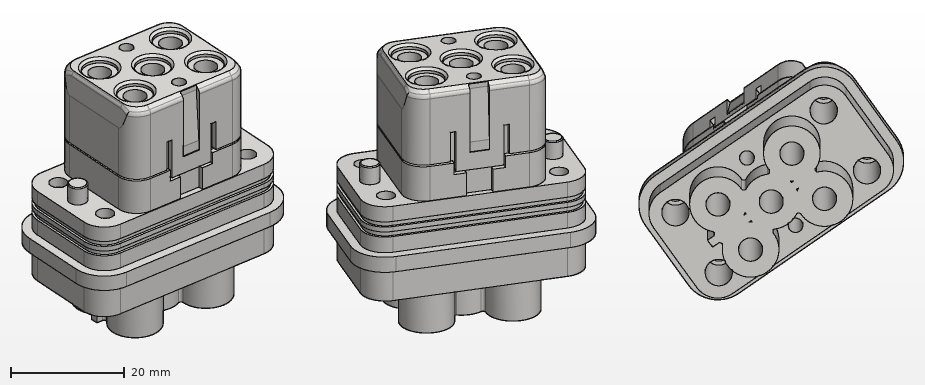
import cadquery as cq
import math

base_bottom = 8.05
flange_bottom = 14.6
flange_top = 17.6
lower_groove_bottom = 20.7
upper_groove_bottom = 22.65
groove_height = 1.0
base_top = 26.65
tongue_gap_bottom = 31.15
tongue_bottom = 31.65
seam_bottom = 33.4
seam_top = 33.75
slit_top = 39.5
tower_top = 48.2

flange_x = 26.0
flange_y = 45.2
base_x = 22.35
flange_overhang = (flange_x - base_x) / 2
base_y = flange_y - 2 * flange_overhang
base_corner = 4.6
flange_corner = base_corner + flange_overhang
groove_depth = 0.5

screw_hole_diameter = 3.35
screw_recess_diameter = 4.8
screw_seat_thickness = 2.0
screw_hole_x = 6.65
screw_hole_y = 16.05
pin_diameter = 3.6
pin_y = 16.95
pin_top = 30.15
pin_chamfer = 0.2

tower_x = 22.05
tower_y = 26.55
tower_corner = 4.05
tower_chamfer = 1.0
tower_round = 1.15
facet_bottom = 43.52
facet_slope = 0.13

latch_depth = 1.0
seam_depth_y = 1.25
tongue_half_width = 4.45
tongue_gap = 0.35
slit_outer_y = 5.5
notch_width = 4.9

slot_width = 3.6
slot_bottom = 35.1
slot_ramp_bottom = 37.0
slot_ramp_top = 47.2
slot_shallow = 0.2
slot_deep = 0.9

contact_x = 5.0
contact_y = 8.0
barrel_radius = 5.0
barrel_blend = 0.5
web_width = 1.55
web_front = 13.25
web_back = 9.65
contact_bore = 4.25
recess_diameter = 6.55
recess_depth = 1.0
recess_chamfer = 0.5
signal_hole_diameter = 2.6
signal_hole_x = 7.45

overcut = 0.5
edge_margin = 0.25
corner_contacts = [(sx * contact_x, sy * contact_y) for sx in (-1, 1) for sy in (-1, 1)]
all_contacts = corner_contacts + [(0, 0)]


def rounded_block(size_x, size_y, corner, bottom, top):
    """Upright block, centred on Z, with rounded vertical corners."""
    block = cq.Workplane("XY").workplane(offset=bottom).rect(size_x, size_y).extrude(top - bottom)
    return block.edges("|Z").fillet(corner)


def box_between(x_range, y_range, z_range):
    """Box given by its lower and upper limit along each axis."""
    sizes = [high - low for low, high in (x_range, y_range, z_range)]
    corner = (x_range[0], y_range[0], z_range[0])
    return cq.Workplane("XY").box(*sizes, centered=False).translate(corner)


def cylinders(points, diameter, bottom, top):
    """Upright cylinders at the given points."""
    circles = cq.Workplane("XY").workplane(offset=bottom).pushPoints(points).circle(diameter / 2)
    return circles.extrude(top - bottom)


def on_both_x_sides(shape):
    """The shape together with its mirror image on the other X side."""
    return shape.union(shape.mirror("YZ"))


def make_base():
    """Base block with two seal grooves, a flange and two coding pins."""
    base = rounded_block(base_x, base_y, base_corner, base_bottom, base_top)
    groove_floor_x = base_x - 2 * groove_depth
    groove_floor_y = base_y - 2 * groove_depth
    for bottom in (lower_groove_bottom, upper_groove_bottom):
        top = bottom + groove_height
        core = rounded_block(groove_floor_x, groove_floor_y, base_corner - groove_depth, bottom, top)
        ring = rounded_block(base_x, base_y, base_corner, bottom, top).cut(core)
        base = base.cut(ring)
    base = base.union(rounded_block(flange_x, flange_y, flange_corner, flange_bottom, flange_top))
    pins = cylinders([(0, -pin_y), (0, pin_y)], pin_diameter, base_top - overcut, pin_top)
    return base.union(pins.faces(">Z").chamfer(pin_chamfer))


def make_tower_body():
    """Tower with chamfered top, leaning facets at both Y ends and a softened shoulder."""
    tower = rounded_block(tower_x, tower_y, tower_corner, base_top - overcut, tower_top)
    tower = tower.faces(">Z").chamfer(tower_chamfer)
    facet_top = tower_top + overcut
    facet_inset = facet_slope * (facet_top - facet_bottom)
    facet = (
        cq.Workplane("YZ")
        .polyline(
            [
                (tower_y / 2, facet_bottom),
                (tower_y / 2 + overcut, facet_bottom),
                (tower_y / 2 + overcut, facet_top),
                (tower_y / 2 - facet_inset, facet_top),
            ]
        )
        .close()
        .extrude(tower_x, both=True)
    )
    tower = tower.cut(facet).cut(facet.mirror("XZ"))
    shoulder_bottom = tower_top - tower_chamfer - edge_margin
    shoulder_top = tower_top - edge_margin
    shoulder = []
    for edge in tower.edges().vals():
        bounds = edge.BoundingBox()
        if bounds.zmin > shoulder_bottom and bounds.zmax < shoulder_top:
            shoulder.append(edge)
    return tower.newObject(shoulder).fillet(tower_round)


def make_seam():
    """Gap around the tower between its upper and lower halves, interrupted by the latch tongues."""
    outer = rounded_block(
        tower_x + 2 * overcut, tower_y + 2 * overcut, tower_corner + overcut, seam_bottom, seam_top
    )
    core_x = tower_x - 2 * latch_depth
    core_y = tower_y - 2 * seam_depth_y
    core = rounded_block(core_x, core_y, tower_corner - latch_depth, seam_bottom, seam_top)
    tongues = box_between(
        (-flange_x, flange_x), (-tongue_half_width, tongue_half_width), (seam_bottom, seam_top)
    )
    return outer.cut(core).cut(tongues)


def make_latch_opening():
    """Slits, stepped gap and notch around the latch tongues on both X sides."""
    x_range = (-tower_x / 2 - overcut, -tower_x / 2 + latch_depth)
    gap_outer_y = tongue_half_width + tongue_gap
    notch = box_between(x_range, (-notch_width / 2, notch_width / 2), (base_top, tongue_bottom))
    gap = box_between(x_range, (-gap_outer_y, gap_outer_y), (tongue_gap_bottom, tongue_bottom))
    slit = box_between(x_range, (tongue_half_width, slit_outer_y), (seam_bottom, slit_top))
    step = box_between(x_range, (tongue_half_width, gap_outer_y), (tongue_gap_bottom, seam_top))
    side = slit.union(step)
    return on_both_x_sides(notch.union(gap).union(side).union(side.mirror("XZ")))


def make_finger_slots():
    """Slots in both X sides that get deeper towards the top."""
    wall = -tower_x / 2
    slot = (
        cq.Workplane("XZ")
        .polyline(
            [
                (wall - overcut, slot_bottom),
                (wall + slot_shallow, slot_bottom),
                (wall + slot_shallow, slot_ramp_bottom),
                (wall + slot_deep, slot_ramp_top),
                (wall + slot_deep, tower_top + overcut),
                (wall - overcut, tower_top + overcut),
            ]
        )
        .close()
        .extrude(slot_width / 2, both=True)
    )
    return on_both_x_sides(slot)


def make_barrels():
    """Five contact barrels below the base, joined by a web, with blended inside corners."""
    top = base_bottom + overcut
    web = box_between((-web_width / 2, web_width / 2), (-web_front, web_back), (0, top))
    barrels = web.union(cylinders([(0, 0)], 2 * barrel_radius, 0, top))
    for point in corner_contacts:
        barrels = barrels.union(cylinders([point], 2 * barrel_radius, 0, top))
    spacing = math.hypot(contact_x, contact_y)
    half_chord = math.sqrt(barrel_radius**2 - (spacing / 2) ** 2)
    valley_x = contact_x / 2 + half_chord * contact_y / spacing
    valley_y = contact_y / 2 - half_chord * contact_x / spacing
    web_offset = contact_x - web_width / 2
    web_valley_y = contact_y + math.sqrt(barrel_radius**2 - web_offset**2)
    valleys = [(sx * valley_x, sy * valley_y) for sx in (-1, 1) for sy in (-1, 1)]
    valleys += [(sx * web_width / 2, -web_valley_y) for sx in (-1, 1)]
    edges = []
    for x, y in valleys:
        nearest = cq.selectors.NearestToPointSelector((x, y, top / 2))
        edges += barrels.edges("|Z").edges(nearest).vals()
    return barrels.newObject(edges).fillet(barrel_blend)


def make_contact_recesses():
    """Counterbored, chamfered openings of the contacts in the top of the tower."""
    floor = tower_top - recess_depth
    recesses = cylinders(all_contacts, recess_diameter, floor, tower_top)
    chamfers = (
        cq.Workplane("XY")
        .workplane(offset=tower_top)
        .pushPoints(all_contacts)
        .circle(recess_diameter / 2 + recess_chamfer)
        .extrude(-recess_chamfer, taper=45)
    )
    return recesses.union(chamfers)


def make_through_holes():
    """Contact bores, signal pin holes and screw holes that are recessed from below."""
    signal_holes = [(-signal_hole_x, 0), (signal_hole_x, 0)]
    screw_holes = [(sx * screw_hole_x, sy * screw_hole_y) for sx in (-1, 1) for sy in (-1, 1)]
    bottom = base_bottom - overcut
    holes = cylinders(all_contacts, contact_bore, -overcut, tower_top + overcut)
    holes = holes.union(cylinders(signal_holes, signal_hole_diameter, -overcut, tower_top + overcut))
    holes = holes.union(cylinders(screw_holes, screw_hole_diameter, bottom, base_top + overcut))
    seat = base_top - screw_seat_thickness
    return holes.union(cylinders(screw_holes, screw_recess_diameter, bottom, seat))


result = make_base().union(make_tower_body()).union(make_barrels())
result = result.cut(make_seam()).cut(make_latch_opening()).cut(make_finger_slots())
result = result.cut(make_contact_recesses()).cut(make_through_holes())